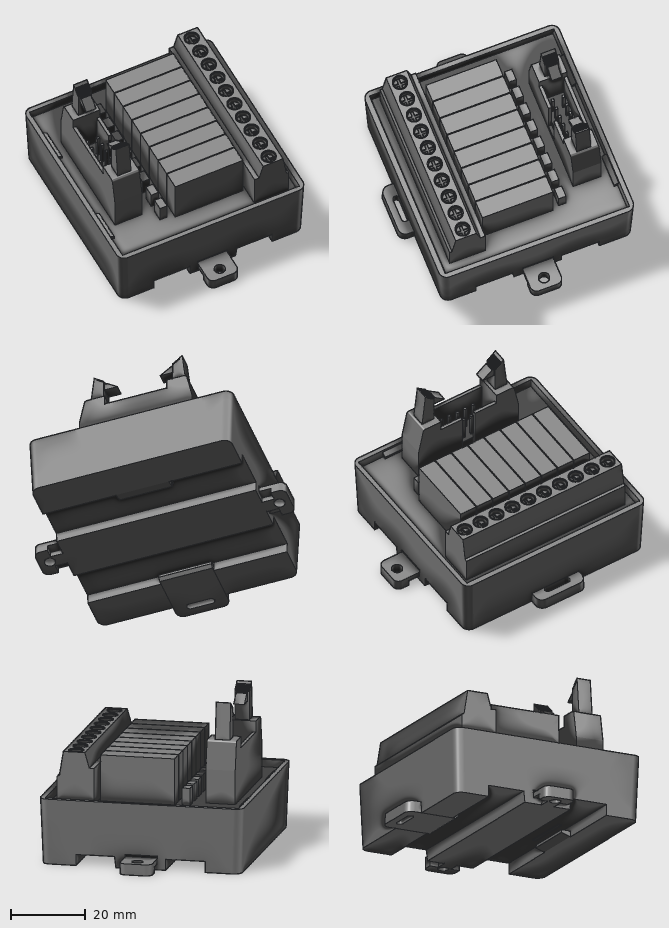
import cadquery as cq
import math

EMBED = 0.7

SPAN_X = 71.6
HOUSING_X = 58.0
HOUSING_Y = 56.0
HOUSING_Z = 18.05
DRAFT = 2.0
UNDERSIDE_X = HOUSING_X - 2 * HOUSING_Z * math.tan(math.radians(DRAFT))
CORNER_RADIUS = 2.3

RIM_DEPTH = 1.9
RIM_INSET = 0.4
OPENING_X = 55.35
OPENING_BACK = 26.5
OPENING_FRONT = -26.6

RIM_CLIP_X = 15.55
RIM_CLIP_LENGTH = 9.0
RIM_CLIP_REACH = 1.4
RIM_CLIP_LOW = 16.75
RIM_CLIP_HIGH = 17.6

SLOT_Z = 3.1
SLOT_BACK = 17.9
SLOT_FRONT = -17.6
FOOT_BACK_TOP = 7.3
FOOT_BACK_BOTTOM = 6.95
FOOT_FRONT = -6.7

HOOK_TOP = 1.65
HOOK_TIP_Z = 0.85
FIXED_HOOK_TIP = -14.9
STOP_RIB_BACK = -13.9
STOP_RIB_WIDTH = 1.1
STOP_RIB_Z = 0.2

LUG_Y = 8.9
LUG_Z = SLOT_Z
LUG_RADIUS = 1.8
LUG_HOLE = 3.0
LUG_HOLE_X = 32.7
LUG_ROOT_X = 27.2
LUG_RELIEF_X = 31.85
LUG_RELIEF_Z = 1.65
LUG_WEB_Y = 3.7
LUG_GAP_Z = 0.7
LUG_GAP_ROOT_X = 27.6

LATCH_X = 15.05
LATCH_END = 31.5
LATCH_END_LEAN = 0.2
LATCH_RADIUS = 2.15
LATCH_HOOK_TIP = 16.05
LATCH_HOOK_BOTTOM = 16.9
LATCH_EYE_X = 7.9
LATCH_EYE_Y = 1.85
LATCH_EYE_PLACE = 28.4

BOARD_TOP = HOUSING_Z - RIM_DEPTH
BOARD_THICKNESS = 1.6
BOARD_BOTTOM = BOARD_TOP - BOARD_THICKNESS
BOARD_X = OPENING_X - 2 * RIM_INSET
BOARD_BACK = OPENING_BACK - RIM_INSET
BOARD_FRONT = OPENING_FRONT + RIM_INSET

TERMINAL_LEFT = -24.6
TERMINAL_LENGTH = 50.85
TERMINAL_TOP = 30.35
TERMINAL_PROFILE = [
    (24.0, BOARD_TOP),
    (24.0, 23.4),
    (23.35, 23.8),
    (22.3, TERMINAL_TOP),
    (16.3, TERMINAL_TOP),
    (15.1, 26.1),
    (13.75, 26.1),
    (13.75, BOARD_TOP),
]
SCREW_COUNT = 10
SCREW_PITCH = 5.1
SCREW_Y = 19.25
SCREW_RIM = 4.1
SCREW_RIM_DEPTH = 0.3
SCREW_WELL = 3.5
SCREW_WELL_DEPTH = 1.6
CROSS_WIDTH = 0.7
CROSS_DEPTH = 0.5

CHANNELS = 8
CHANNEL_SPAN = 36.4
CHANNEL_PITCH = CHANNEL_SPAN / (CHANNELS - 1)
RELAY_LEFT = -20.5
RELAY_X = 4.95
RELAY_BACK = 12.95
RELAY_FRONT = -7.4
RELAY_TOP = 28.9
LAMP_LEFT = -19.75
LAMP_X = 3.2
LAMP_BACK = -9.3
LAMP_FRONT = -11.45
LAMP_TOP = 20.8

HEADER_X = 32.1
HEADER_SHOULDER_X = 28.9
HEADER_BACK = -15.0
HEADER_FRONT = -23.05
HEADER_BEND_Z = 25.35
HEADER_TOP = 33.2
HEADER_ROUND = 0.85
CAVITY_X = 17.75
CAVITY_WALL = 0.9
CAVITY_FLOOR = 20.05
LOW_WALL_TOP = 30.2
KEY_X = 4.0
KEY_FLOOR = 17.9
PIN_COLUMNS = 5
PIN_PITCH = SCREW_PITCH / 2
PIN_ROW_GAP = 3.1
PIN_SIDE = 0.7
PIN_TOP = 26.9

ARM_INNER = 9.8
ARM_OUTER = 13.6
ARM_PEAK = 12.5
ARM_TOP = 43.25
ARM_Y = 4.0
BARB_TIP = 6.1
BARB_Z = 38.3
BARB_Y = 2.9
GRIP_START = 11.75
GRIP_COUNT = 9
GRIP_PITCH = 0.3
GRIP_DEPTH = 0.2


def block(x0, x1, y0, y1, z0, z1):
    """Box between two opposite corners."""
    return cq.Workplane("XY").box(x1 - x0, y1 - y0, z1 - z0, centered=False).translate((x0, y0, z0))


def prism_along_x(profile, x0, x1):
    """Solid with a (y, z) profile that runs from x0 to x1."""
    return cq.Workplane("YZ").polyline(profile).close().extrude(x1 - x0).translate((x0, 0, 0))


def prism_along_y(profile, y0, y1):
    """Solid with an (x, z) profile that runs from y0 to y1."""
    return cq.Workplane("XZ").polyline(profile).close().extrude(y0 - y1).translate((0, y0, 0))


def both_sides(shape):
    """A shape together with its mirror image across the YZ plane."""
    return shape.union(shape.mirror("YZ"))


def make_latch():
    profile = [
        (LATCH_HOOK_BOTTOM, 0),
        (LATCH_END, 0),
        (LATCH_END - LATCH_END_LEAN, SLOT_Z),
        (SLOT_BACK, SLOT_Z),
        (SLOT_BACK, HOOK_TOP),
        (LATCH_HOOK_TIP, HOOK_TOP),
        (LATCH_HOOK_TIP, HOOK_TIP_Z),
    ]
    body = prism_along_x(profile, -LATCH_X / 2, LATCH_X / 2)
    upright_end_edges = body.faces(">Y").edges("not(|X)")
    return upright_end_edges.fillet(LATCH_RADIUS)


def make_latch_eye():
    eye = cq.Workplane("XY").center(0, LATCH_EYE_PLACE).slot2D(LATCH_EYE_X, LATCH_EYE_Y)
    return eye.extrude(SLOT_Z)


def make_board_plate():
    half = BOARD_X / 2
    return block(-half, half, BOARD_FRONT, BOARD_BACK, BOARD_BOTTOM, BOARD_TOP)


def make_shell():
    top = cq.Workplane("XY").workplane(offset=HOUSING_Z).rect(HOUSING_X, HOUSING_Y)
    shell = top.extrude(-HOUSING_Z, taper=DRAFT)
    return shell.edges("not #Z").fillet(CORNER_RADIUS)


def make_board_recess():
    middle_y = (OPENING_BACK + OPENING_FRONT) / 2
    rim_angle = math.degrees(math.atan2(RIM_INSET, RIM_DEPTH))
    opening = cq.Workplane("XY").workplane(offset=HOUSING_Z).center(0, middle_y)
    opening = opening.rect(OPENING_X, OPENING_BACK - OPENING_FRONT).extrude(-RIM_DEPTH, taper=rim_angle)
    return opening.union(make_board_plate())


def make_rim_clips():
    profile = [
        (OPENING_FRONT - RIM_INSET, BOARD_TOP),
        (OPENING_FRONT - RIM_INSET, RIM_CLIP_HIGH),
        (OPENING_FRONT, RIM_CLIP_HIGH),
        (OPENING_FRONT + RIM_CLIP_REACH, RIM_CLIP_LOW),
        (OPENING_FRONT + RIM_CLIP_REACH, BOARD_TOP),
    ]
    half = RIM_CLIP_LENGTH / 2
    return both_sides(prism_along_x(profile, RIM_CLIP_X - half, RIM_CLIP_X + half))


def make_rail_slots():
    half = HOUSING_X / 2
    back_profile = [
        (FOOT_BACK_BOTTOM, 0),
        (SLOT_BACK, 0),
        (SLOT_BACK, SLOT_Z),
        (FOOT_BACK_TOP, SLOT_Z),
    ]
    front_slot = block(-half, half, SLOT_FRONT, FOOT_FRONT, 0, SLOT_Z)
    return prism_along_x(back_profile, -half, half).union(front_slot)


def make_fixed_hook():
    half = LATCH_X / 2
    profile = [
        (SLOT_FRONT - EMBED, 0),
        (SLOT_FRONT, 0),
        (FIXED_HOOK_TIP, HOOK_TIP_Z),
        (FIXED_HOOK_TIP, HOOK_TOP),
        (SLOT_FRONT - EMBED, HOOK_TOP),
    ]
    hook = prism_along_x(profile, -half, half)
    rib = block(-half, half, STOP_RIB_BACK - STOP_RIB_WIDTH, STOP_RIB_BACK, SLOT_Z - STOP_RIB_Z, SLOT_Z + EMBED)
    return hook.union(rib)


def make_lugs():
    half = LUG_Y / 2
    lug = block(LUG_ROOT_X, SPAN_X / 2, -half, half, 0, LUG_Z)
    lug = lug.edges("|Z and >X").fillet(LUG_RADIUS)
    hole = cq.Workplane("XY").center(LUG_HOLE_X, 0).circle(LUG_HOLE / 2).extrude(LUG_Z)
    relief = block(UNDERSIDE_X / 2, LUG_RELIEF_X, LUG_WEB_Y / 2, half, 0, LUG_RELIEF_Z)
    lug = lug.cut(hole).cut(relief).cut(relief.mirror("XZ"))
    return both_sides(lug)


def make_lug_gaps():
    half = LUG_Y / 2
    outside = HOUSING_X / 2
    profile = [
        (LUG_GAP_ROOT_X, LUG_Z),
        (outside, LUG_Z),
        (outside, LUG_Z + LUG_GAP_Z),
        (LUG_GAP_ROOT_X + LUG_GAP_Z, LUG_Z + LUG_GAP_Z),
    ]
    return both_sides(prism_along_y(profile, -half, half))


def make_housing():
    housing = make_shell().cut(make_board_recess()).union(make_rim_clips())
    housing = housing.cut(make_rail_slots()).cut(make_lug_gaps())
    housing = housing.union(make_fixed_hook()).union(make_lugs())
    return housing.cut(make_latch())


def make_terminal_screw(x):
    """Stepped well with a cross slot in its floor."""
    well_floor = TERMINAL_TOP - SCREW_WELL_DEPTH
    rim = cq.Workplane("XY").workplane(offset=TERMINAL_TOP).circle(SCREW_RIM / 2).extrude(-SCREW_RIM_DEPTH)
    well = cq.Workplane("XY").workplane(offset=TERMINAL_TOP).circle(SCREW_WELL / 2).extrude(-SCREW_WELL_DEPTH)
    floor = cq.Workplane("XY").workplane(offset=well_floor)
    slot = floor.rect(SCREW_WELL, CROSS_WIDTH).extrude(-CROSS_DEPTH)
    cross = slot.union(slot.rotate((0, 0, 0), (0, 0, 1), 90))
    cross = cross.intersect(floor.circle(SCREW_WELL / 2).extrude(-CROSS_DEPTH))
    return rim.union(well).union(cross).translate((x, SCREW_Y, 0))


def make_terminal_block():
    terminal = prism_along_x(TERMINAL_PROFILE, TERMINAL_LEFT, TERMINAL_LEFT + TERMINAL_LENGTH)
    middle = TERMINAL_LEFT + TERMINAL_LENGTH / 2
    for i in range(SCREW_COUNT):
        x = middle + (i - (SCREW_COUNT - 1) / 2) * SCREW_PITCH
        terminal = terminal.cut(make_terminal_screw(x))
    return terminal


def add_channels(board):
    for i in range(CHANNELS):
        relay_x = RELAY_LEFT + i * CHANNEL_PITCH
        lamp_x = LAMP_LEFT + i * CHANNEL_PITCH
        relay = block(relay_x, relay_x + RELAY_X, RELAY_FRONT, RELAY_BACK, BOARD_TOP, RELAY_TOP)
        lamp = block(lamp_x, lamp_x + LAMP_X, LAMP_FRONT, LAMP_BACK, BOARD_TOP, LAMP_TOP)
        board = board.union(relay).union(lamp)
    return board


def make_ejector_arm():
    """Arm on the +X side of the header, with a barb pointing inwards and a knurled top."""
    middle_y = (HEADER_BACK + HEADER_FRONT) / 2
    slope = (ARM_TOP - BARB_Z) / (ARM_PEAK - BARB_TIP)
    inner_top = BARB_Z + slope * (ARM_INNER - BARB_TIP)
    arm_profile = [
        (ARM_INNER, HEADER_TOP),
        (ARM_OUTER, HEADER_TOP),
        (ARM_PEAK, ARM_TOP),
        (ARM_INNER, inner_top),
    ]
    barb_profile = [
        (BARB_TIP, BARB_Z),
        (ARM_INNER, BARB_Z),
        (ARM_INNER, inner_top),
    ]
    arm = prism_along_y(arm_profile, middle_y - ARM_Y / 2, middle_y + ARM_Y / 2)
    arm = arm.union(prism_along_y(barb_profile, middle_y - BARB_Y / 2, middle_y + BARB_Y / 2))
    for i in range(GRIP_COUNT):
        x = GRIP_START - i * GRIP_PITCH
        z = BARB_Z + slope * (x - BARB_TIP)
        groove_profile = [
            (x, z),
            (x - GRIP_PITCH, z - slope * GRIP_PITCH),
            (x, z - slope * GRIP_PITCH - GRIP_DEPTH / 2),
        ]
        arm = arm.cut(prism_along_y(groove_profile, middle_y - ARM_Y / 2, middle_y + ARM_Y / 2))
    return arm


def make_header():
    half = HEADER_X / 2
    shoulder = HEADER_SHOULDER_X / 2
    outline = [
        (-half, BOARD_TOP),
        (half, BOARD_TOP),
        (half, HEADER_BEND_Z),
        (shoulder, HEADER_TOP),
        (-shoulder, HEADER_TOP),
        (-half, HEADER_BEND_Z),
    ]
    header = prism_along_y(outline, HEADER_FRONT, HEADER_BACK)
    header = header.faces(">Z").edges("|Y").fillet(HEADER_ROUND)

    cavity = CAVITY_X / 2
    cavity_back = HEADER_BACK - CAVITY_WALL
    cavity_front = HEADER_FRONT + CAVITY_WALL
    header = header.cut(block(-cavity, cavity, cavity_front, cavity_back, CAVITY_FLOOR, HEADER_TOP))
    header = header.cut(block(-cavity, cavity, HEADER_FRONT, HEADER_BACK, LOW_WALL_TOP, HEADER_TOP))
    header = header.cut(block(-KEY_X / 2, KEY_X / 2, cavity_back, HEADER_BACK, KEY_FLOOR, HEADER_TOP))
    header = header.union(both_sides(make_ejector_arm()))

    middle_y = (HEADER_BACK + HEADER_FRONT) / 2
    pin_half = PIN_SIDE / 2
    for i in range(PIN_COLUMNS):
        x = (i - (PIN_COLUMNS - 1) / 2) * PIN_PITCH
        for y in (middle_y - PIN_ROW_GAP / 2, middle_y + PIN_ROW_GAP / 2):
            pin = block(x - pin_half, x + pin_half, y - pin_half, y + pin_half, CAVITY_FLOOR, PIN_TOP)
            header = header.union(pin)
    return header


def make_board():
    board = make_board_plate().union(make_terminal_block())
    board = add_channels(board)
    return board.union(make_header())


housing = make_housing().solids().val()
latch = make_latch().cut(make_latch_eye()).solids().val()
board = make_board().solids().val()

result = cq.Compound.makeCompound([housing, latch, board])